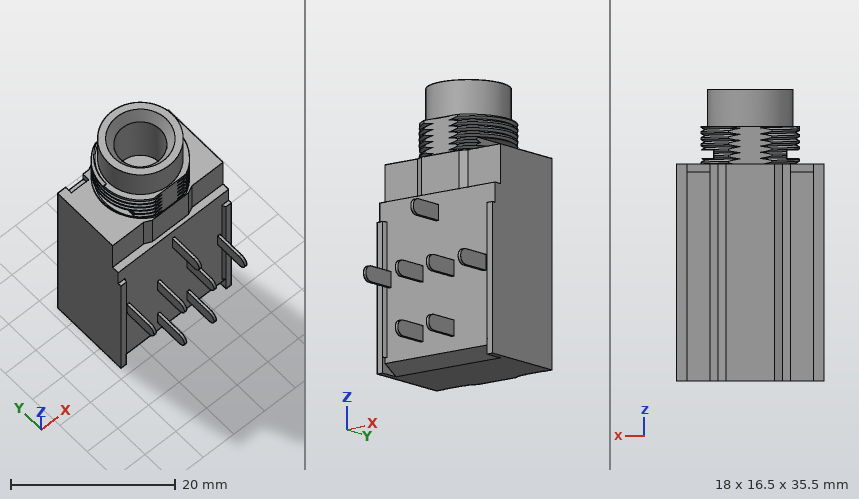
import cadquery as cq
import math


body_width = 18.0
body_top = 26.45
wall_y = 5.05
bulge_y = 5.5
bulge_flat_half = 2.95
bulge_base_half = 3.95
panel_y = -6.07
panel_top = 21.48
bottom_chamfer_height = 1.28
bottom_chamfer_depth = 2.1

rail_y = -6.55
rail_top = 18.95
rail_inner_half = 8.13
rail_root_half = 7.88
rail_taper_bottom = 2.0

notch_x = 6.3
notch_width = 2.8
notch_floor_y = 3.98
notch_depth = 1.0
groove_depth = 0.1

nose_top = 35.5
nose_radius = 5.22
thread_top = 31.0
thread_radius = 6.0
thread_root_radius = 5.55
thread_pitch = 0.75
thread_crest_width = 0.2
thread_flat_y = 5.4
slot_x = 4.47
slot_bottom = 27.1
slot_top = 28.15

bore_radius = 3.23
bore_mouth_radius = 4.22
bore_mouth_depth = 1.35

pin_thickness = 0.4
pin_height = 2.0
pin_tip_y = -11.0
inner_pin_x = 2.4
outer_pin_x = 7.4
upper_row_z = 18.95
middle_row_z = 11.65
lower_row_z = 4.15
pin_places = [
    (0, upper_row_z),
    (-outer_pin_x, middle_row_z),
    (-inner_pin_x, middle_row_z),
    (inner_pin_x, middle_row_z),
    (outer_pin_x, middle_row_z),
    (-inner_pin_x, lower_row_z),
    (inner_pin_x, lower_row_z),
]


def make_box(x_range, y_range, z_range):
    size = [high - low for low, high in (x_range, y_range, z_range)]
    corner = (x_range[0], y_range[0], z_range[0])
    return cq.Workplane("XY").box(*size, centered=False).translate(corner)


def make_housing():
    half = body_width / 2
    core = make_box((-half, half), (-wall_y, wall_y), (0, body_top))
    bulges = (
        cq.Workplane("XY")
        .polyline([
            (-bulge_base_half, -wall_y),
            (-bulge_flat_half, -bulge_y),
            (bulge_flat_half, -bulge_y),
            (bulge_base_half, -wall_y),
            (bulge_base_half, wall_y),
            (bulge_flat_half, bulge_y),
            (-bulge_flat_half, bulge_y),
            (-bulge_base_half, wall_y),
        ])
        .close()
        .extrude(body_top)
    )
    panel = make_box((-half, half), (panel_y, 0), (0, panel_top))
    chamfer = (
        cq.Workplane("YZ")
        .polyline([
            (panel_y, 0),
            (panel_y + bottom_chamfer_depth, 0),
            (panel_y, bottom_chamfer_height),
        ])
        .close()
        .extrude(rail_inner_half, both=True)
    )
    return core.union(bulges).union(panel).cut(chamfer)


def make_rail():
    """Rail on the +X side: straight at the bottom, dovetailed above."""
    straight = make_box((rail_inner_half, body_width / 2), (rail_y, panel_y), (0, rail_top))
    taper = (
        cq.Workplane("XY", origin=(0, 0, rail_taper_bottom))
        .polyline([
            (rail_inner_half, rail_y),
            (rail_inner_half, panel_y),
            (rail_root_half, panel_y),
        ])
        .close()
        .extrude(rail_top - rail_taper_bottom)
    )
    return straight.union(taper)


def make_back_notch(center_x):
    """Shallow full-height groove with a deeper notch at its top."""
    x_range = (center_x - notch_width / 2, center_x + notch_width / 2)
    groove = make_box(x_range, (wall_y - groove_depth, bulge_y), (0, body_top))
    notch = make_box(x_range, (notch_floor_y, bulge_y), (body_top - notch_depth, body_top))
    return groove.union(notch)


def make_groove_turn():
    """One turn of the right-hand V groove, starting on the -X side at Z = 0."""
    overcut = 0.1
    half_mouth = (thread_pitch - thread_crest_width) / 2
    thread_depth = thread_radius - thread_root_radius
    half_width = half_mouth * (thread_depth + overcut) / thread_depth
    outer_radius = thread_radius + overcut
    helix = cq.Wire.makeHelix(thread_pitch, thread_pitch, thread_root_radius)
    return (
        cq.Workplane("XZ")
        .polyline([
            (thread_root_radius, 0),
            (outer_radius, half_width),
            (outer_radius, -half_width),
        ])
        .close()
        .sweep(cq.Workplane(helix), isFrenet=True)
        .rotate((0, 0, 0), (0, 0, 1), 180)
    )


def make_nose():
    """Threaded collar with front and back flats and side slots, topped by a plain tip."""
    thread = (
        cq.Workplane("XY", origin=(0, 0, body_top))
        .circle(thread_radius)
        .extrude(thread_top - body_top)
    )
    flats = make_box(
        (-thread_radius, thread_radius), (-thread_flat_y, thread_flat_y), (body_top, thread_top)
    )
    thread = thread.intersect(flats)
    groove_turn = make_groove_turn()
    turns = math.ceil((thread_top - body_top) / thread_pitch)
    for turn in range(1, turns + 1):
        thread = thread.cut(groove_turn.translate((0, 0, thread_top - turn * thread_pitch)))
    for x_range in ((-body_width / 2, -slot_x), (slot_x, body_width / 2)):
        thread = thread.cut(make_box(x_range, (-thread_radius, thread_radius), (slot_bottom, slot_top)))
    tip = (
        cq.Workplane("XY", origin=(0, 0, thread_top))
        .circle(nose_radius)
        .extrude(nose_top - thread_top)
    )
    return thread.union(tip)


def make_bore():
    """Blind bore with a conical mouth, ending level with the top of the housing."""
    return (
        cq.Workplane("XZ")
        .polyline([
            (0, body_top),
            (bore_radius, body_top),
            (bore_radius, nose_top - bore_mouth_depth),
            (bore_mouth_radius, nose_top),
            (0, nose_top),
        ])
        .close()
        .revolve(360, (0, 0, 0), (0, 1, 0))
    )


def make_pin(center_x, center_z):
    """Flat blade with a round tip, rooted inside the housing."""
    radius = pin_height / 2
    round_start_y = pin_tip_y + radius
    return (
        cq.Workplane("YZ", origin=(center_x, 0, center_z))
        .moveTo(-wall_y, -radius)
        .lineTo(round_start_y, -radius)
        .threePointArc((pin_tip_y, 0), (round_start_y, radius))
        .lineTo(-wall_y, radius)
        .close()
        .extrude(pin_thickness / 2, both=True)
    )


rail = make_rail()
result = make_housing().union(rail).union(rail.mirror("YZ"))
for side in (-1, 1):
    result = result.cut(make_back_notch(side * notch_x))
result = result.union(make_nose()).cut(make_bore())
for pin_x, pin_z in pin_places:
    result = result.union(make_pin(pin_x, pin_z))